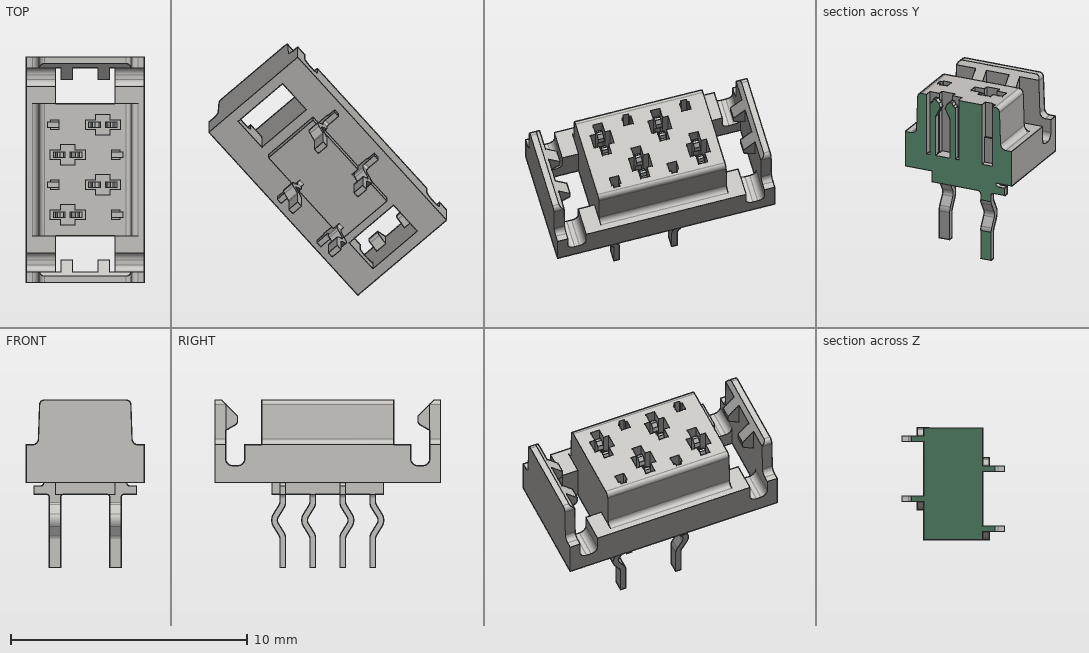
import cadquery as cq
import math

LENGTH = 9.55
WIDTH = 5.0
TOP_Z = 3.5
SHOULDER_Z = 1.6
PIN_TIP_Z = -3.6

WALL_FOOT_HALF = 1.99
WALL_TOP_HALF = 1.93
FOOT_RADIUS = 0.25
CREST_RADIUS = 0.21

BLOCK_HALF = 2.8
END_WALL = 0.46
SLOT_WIDTH = 0.8
SLOT_FLOOR_Z = 0.72
SLOT_RADIUS = 0.3
WINDOW_HALF = 1.25

HOOK_X = 0.78
HOOK_WIDTH = 0.51
LEAD_IN = 0.18
HOOK_FOOT_Z = 2.21
HOOK_UNDER_ANGLE = 30.0
HOOK_REACH = 0.51
HOOK_TIP_RADIUS = 0.19

STANDOFF_HALF = 2.37
STANDOFF_HEIGHT = 0.5

ROWS = 4
PITCH = 1.27
METAL = 0.25
PIN_X = 1.28
PIN_WIDTH = 0.5
FOOT_OUTER_X = 2.18
FOOT_TOP_Z = -0.14
FOOT_NECK_X = 1.77
NECK_RADIUS = 0.12
PIN_ROOT_RADIUS = 0.12
KINK_OFFSET = 0.41
KINK_Z = -1.595
KINK_HALF = 0.67
KINK_INNER_RADIUS = 0.25
BEND_INNER_RADIUS = 0.19

CAVITY_FLOOR_Z = 0.76
CROSS_X = 0.745
CROSS_SLOT_HALF = 0.745
CROSS_SLOT_WIDTH = 0.4
CROSS_BAR_WIDTH = 0.6
CROSS_BAR_LENGTH = 0.88
PORT_INNER_X = 1.11
PORT_OUTER_X = 1.47
PORT_NOTCH_X = 1.595
PORT_FLOOR_Z = 1.91

ARM_TIP_Z = 3.32
ARM_NOSE = 0.105
ARM_ENTRY = 0.17
ARM_INNER = 0.32
ARM_CREST = 0.44
ARM_SHOULDER = 0.51
ARM_OUTER = 0.6
ENTRY_DROP = 0.14
NOSE_DROP = 0.33
RELIEF_DROP = 0.76
SHOULDER_DROP = 0.15
OUTER_DROP = 0.21


def block(x0, x1, y0, y1, z0, z1):
    """Axis-aligned box between two opposite corners."""
    return cq.Workplane("XY").box(x1 - x0, y1 - y0, z1 - z0, centered=False).translate((x0, y0, z0))


def extrude_x(outline, width, x_centre):
    """Extrude a closed (Y, Z) outline symmetrically about x_centre."""
    return outline.extrude(width / 2, both=True).translate((x_centre, 0, 0))


def housing_bar():
    """Stepped bar of full length with a rounded crest and filleted shoulders."""
    half = WIDTH / 2
    taper = (WALL_FOOT_HALF - WALL_TOP_HALF) / (TOP_Z - SHOULDER_Z)
    foot = WALL_FOOT_HALF + taper * FOOT_RADIUS
    right = [(half, 0), (half, SHOULDER_Z), (foot, SHOULDER_Z), (WALL_TOP_HALF, TOP_Z)]
    left = [(-x, z) for x, z in reversed(right)]
    bar = cq.Workplane("XZ").polyline(right + left).close().extrude(LENGTH / 2, both=True)
    bar = bar.faces(">Z").edges("|Y").fillet(CREST_RADIUS)
    margin = FOOT_RADIUS / 2
    inner_corners = cq.selectors.BoxSelector(
        (-foot - margin, -margin, SHOULDER_Z - margin), (foot + margin, margin, SHOULDER_Z + margin))
    return bar.edges("|Y").edges(inner_corners).fillet(FOOT_RADIUS)


def end_gap():
    """Space between the block and the +Y end wall, including the relief slot and window."""
    wall_y = LENGTH / 2 - END_WALL
    half = WIDTH / 2
    above = block(-half, half, BLOCK_HALF, wall_y, SHOULDER_Z, TOP_Z)
    slot = block(-half, half, wall_y - SLOT_WIDTH, wall_y, SLOT_FLOOR_Z, TOP_Z)
    slot = slot.faces("<Z").edges("|X").fillet(SLOT_RADIUS)
    window = block(-WINDOW_HALF, WINDOW_HALF, BLOCK_HALF, wall_y, 0, TOP_Z)
    return above.union(slot).union(window)


def lead_in_bevel():
    """Wedge removed from the inner top edge of the +Y end wall."""
    wall_y = LENGTH / 2 - END_WALL
    outline = cq.Workplane("YZ").polyline(
        [(wall_y, TOP_Z), (wall_y + LEAD_IN, TOP_Z), (wall_y, TOP_Z - LEAD_IN)]).close()
    return extrude_x(outline, WIDTH, 0)


def hook(x_centre):
    """Latch hook whose upper slope continues the lead-in bevel of the +Y end wall."""
    wall_y = LENGTH / 2 - END_WALL
    top_z = TOP_Z - LEAD_IN
    tip_y = wall_y - HOOK_REACH
    under_z = HOOK_FOOT_Z + HOOK_REACH * math.tan(math.radians(HOOK_UNDER_ANGLE))
    outline = cq.Workplane("YZ").polyline([
        (wall_y + LEAD_IN, top_z - LEAD_IN),
        (wall_y, top_z),
        (tip_y, top_z - HOOK_REACH),
        (tip_y, under_z),
        (wall_y, HOOK_FOOT_Z),
        (wall_y + LEAD_IN, HOOK_FOOT_Z),
    ]).close()
    lower_corner = cq.selectors.NearestToPointSelector((x_centre, tip_y, under_z))
    return extrude_x(outline, HOOK_WIDTH, x_centre).edges("|X").edges(lower_corner).fillet(HOOK_TIP_RADIUS)


def housing():
    """Plastic body without cavities."""
    body = housing_bar()
    gap = end_gap().union(lead_in_bevel())
    body = body.cut(gap).cut(gap.mirror("XZ"))
    for x_centre in (-HOOK_X, HOOK_X):
        latch = hook(x_centre)
        body = body.union(latch).union(latch.mirror("XZ"))
    standoff = block(-WINDOW_HALF, WINDOW_HALF, -STANDOFF_HALF, STANDOFF_HALF, -STANDOFF_HEIGHT, 0)
    return body.union(standoff)


def cavity():
    """Cross-shaped socket over the spring and a small port over the pin."""
    half_slot = CROSS_SLOT_WIDTH / 2
    half_bar = CROSS_BAR_LENGTH / 2
    half_metal = METAL / 2
    along_x = block(CROSS_X - CROSS_SLOT_HALF, CROSS_X + CROSS_SLOT_HALF,
                    -half_slot, half_slot, CAVITY_FLOOR_Z, TOP_Z)
    along_y = block(CROSS_X - CROSS_BAR_WIDTH / 2, CROSS_X + CROSS_BAR_WIDTH / 2,
                    -half_bar, half_bar, CAVITY_FLOOR_Z, TOP_Z)
    port = block(-PORT_OUTER_X, -PORT_INNER_X, -half_slot, half_slot, PORT_FLOOR_Z, TOP_Z)
    notch = block(-PORT_NOTCH_X, -PORT_INNER_X, -half_metal, half_metal, CAVITY_FLOOR_Z, TOP_Z)
    return along_x.union(along_y).union(port).union(notch)


def spring_arm(side):
    """Spring arm standing in the cross socket; side is +1 or -1 along X."""
    outline = [
        (ARM_OUTER, 0),
        (ARM_OUTER, ARM_TIP_Z - OUTER_DROP),
        (ARM_SHOULDER, ARM_TIP_Z - SHOULDER_DROP),
        (ARM_CREST, ARM_TIP_Z),
        (ARM_INNER, ARM_TIP_Z),
        (ARM_ENTRY, ARM_TIP_Z - ENTRY_DROP),
        (ARM_NOSE, ARM_TIP_Z - NOSE_DROP),
        (ARM_INNER, ARM_TIP_Z - RELIEF_DROP),
        (ARM_INNER, 0),
    ]
    points = [(CROSS_X + side * x, z) for x, z in outline]
    return cq.Workplane("XZ").polyline(points).close().extrude(METAL / 2, both=True)


def foot_plate():
    """Flat foot beside the standoff, with the rounded neck and pin root."""
    pin_out = -PIN_X - PIN_WIDTH / 2
    pin_in = -PIN_X + PIN_WIDTH / 2
    bottom = -STANDOFF_HEIGHT
    root = bottom - PIN_ROOT_RADIUS
    return (
        cq.Workplane("XZ")
        .moveTo(-FOOT_OUTER_X, bottom)
        .lineTo(-FOOT_OUTER_X, FOOT_TOP_Z)
        .lineTo(-FOOT_NECK_X - NECK_RADIUS, FOOT_TOP_Z)
        .radiusArc((-FOOT_NECK_X, FOOT_TOP_Z + NECK_RADIUS), -NECK_RADIUS)
        .lineTo(-FOOT_NECK_X, 0)
        .lineTo(0, 0)
        .lineTo(0, bottom)
        .lineTo(pin_in + PIN_ROOT_RADIUS, bottom)
        .radiusArc((pin_in, root), -PIN_ROOT_RADIUS)
        .lineTo(pin_out, root)
        .radiusArc((pin_out - PIN_ROOT_RADIUS, bottom), -PIN_ROOT_RADIUS)
        .close()
        .extrude(METAL / 2, both=True)
    )


def kinked_pin(side):
    """Pin leg that bulges toward side (+1 or -1 along Y)."""
    half = METAL / 2
    slope = math.atan2(KINK_OFFSET, KINK_HALF)
    mitre = half * math.tan(slope / 2)
    apex = half / math.cos(slope)
    bend = KINK_HALF + mitre
    back = KINK_HALF - mitre
    face = [(half, -STANDOFF_HEIGHT), (half, KINK_Z + bend), (KINK_OFFSET + apex, KINK_Z),
            (half, KINK_Z - bend), (half, PIN_TIP_Z)]
    rear = [(-half, PIN_TIP_Z), (-half, KINK_Z - back), (KINK_OFFSET - apex, KINK_Z),
            (-half, KINK_Z + back), (-half, -STANDOFF_HEIGHT)]
    points = [(side * y, z) for y, z in face + rear]
    pin = extrude_x(cq.Workplane("YZ").polyline(points).close(), PIN_WIDTH, -PIN_X)

    def round_edge(solid, y, z, radius):
        edge = cq.selectors.NearestToPointSelector((-PIN_X, side * y, z))
        return solid.edges("|X").edges(edge).fillet(radius)

    pin = round_edge(pin, KINK_OFFSET + apex, KINK_Z, KINK_INNER_RADIUS + METAL)
    pin = round_edge(pin, KINK_OFFSET - apex, KINK_Z, KINK_INNER_RADIUS)
    for end in (-1, 1):
        pin = round_edge(pin, half, KINK_Z + end * bend, BEND_INNER_RADIUS)
        pin = round_edge(pin, -half, KINK_Z + end * back, BEND_INNER_RADIUS + METAL)
    return pin


result = housing()
for row in range(ROWS):
    row_y = (row - (ROWS - 1) / 2) * PITCH
    bulge = 1 if row_y > 0 else -1
    pocket = cavity()
    metal = spring_arm(1).union(spring_arm(-1)).union(foot_plate()).union(kinked_pin(bulge))
    if row % 2 == 0:
        pocket = pocket.mirror("YZ")
        metal = metal.mirror("YZ")
    result = result.cut(pocket.translate((0, row_y, 0)))
    result = result.union(metal.translate((0, row_y, 0)))